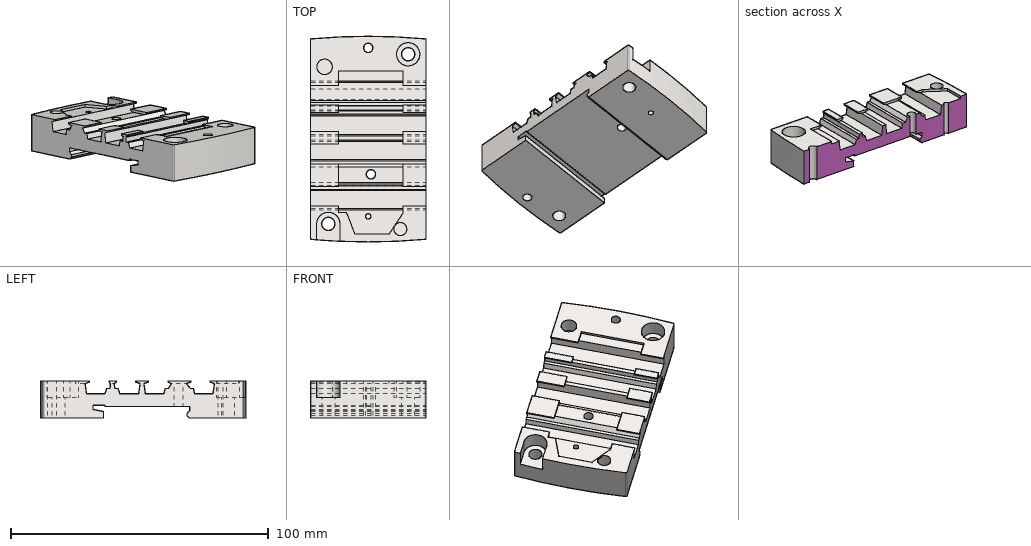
import cadquery as cq

WIDTH = 45.0
LENGTH = 79.9
HEIGHT = 14.5
END_BOW = 1.0
CORNER_RADIUS = 0.5

LIP_DEPTH = 0.5
NECK_DEPTH = 1.0
LEDGE_DEPTH = 2.9
FLOOR_DEPTH = 4.95

PLAIN_NECK_UNDERCUT = 1.7
PLAIN_FOOT_UNDERCUT = 1.1

POCKET_LEFT = -11.6
POCKET_RIGHT = 13.4
POCKET_BACK = 26.4
POCKET_SHOULDER_LEFT = -28.5
POCKET_SHOULDER_RIGHT = -28.85
POCKET_SHOULDER_END = -8.5
POCKET_FRONT = -36.9
POCKET_FRONT_LEFT = -5.1
POCKET_FRONT_RIGHT = 8.1

RAIL_DEPTH = 4.5
HOOK_Y = 15.4
HOOK_LIP_HEIGHT = 2.6
HOOK_ROOT_Y = 19.4
HOOK_ROOT_HEIGHT = 3.4
RELIEF_Y = 14.9
RELIEF_DEPTH = 5.0
NOSE_WALL_Y = -18.0
NOSE_TIP_Y = -16.9
NOSE_HEIGHTS = (1.0, 1.9, 2.95)

SCREW_X = 15.5
SCREW_Y = 32.9
SCREW_DIAMETER = 5.0
HEAD_DIAMETER = 9.0
HEAD_DEPTH = 6.5

THROUGH_HOLES = [(0, 35.4, 3.5), (1.0, -13.7, 3.5), (0, -29.95, 2.0)]
BLIND_HOLES = [(-16.9, 28.05, 6.0), (12.5, -34.9, 5.0)]
BLIND_DEPTH = HEAD_DEPTH


def block():
    half_width = WIDTH / 2
    half_length = LENGTH / 2
    corner_y = half_length - END_BOW
    return (
        cq.Workplane("XY")
        .moveTo(-half_width, -corner_y)
        .threePointArc((0, -half_length), (half_width, -corner_y))
        .lineTo(half_width, corner_y)
        .threePointArc((0, half_length), (-half_width, corner_y))
        .close()
        .extrude(HEIGHT)
        .edges("|Z")
        .fillet(CORNER_RADIUS)
    )


def along_x(points):
    """Bar with the given (y, z) outline, running the full width of the block."""
    return cq.Workplane("YZ").polyline(points).close().extrude(WIDTH / 2, both=True)


def plain_wall(lip_y, outward):
    """Wall outline from top to floor; outward is +1 or -1, pointing into the material along Y."""
    neck_y = lip_y + outward * PLAIN_NECK_UNDERCUT
    foot_y = lip_y + outward * PLAIN_FOOT_UNDERCUT
    return [
        (lip_y, HEIGHT),
        (lip_y, HEIGHT - LIP_DEPTH),
        (neck_y, HEIGHT - NECK_DEPTH),
        (foot_y, HEIGHT - FLOOR_DEPTH),
    ]


def stepped_wall(lip_y, neck_y, ledge_root_y, ledge_edge_y, foot_y):
    """Wall outline from top to floor with a ledge part of the way down."""
    return [
        (lip_y, HEIGHT),
        (lip_y, HEIGHT - LIP_DEPTH),
        (neck_y, HEIGHT - NECK_DEPTH),
        (ledge_root_y, HEIGHT - LEDGE_DEPTH),
        (ledge_edge_y, HEIGHT - LEDGE_DEPTH),
        (foot_y, HEIGHT - FLOOR_DEPTH),
    ]


def channel(back_wall, front_wall):
    return along_x(back_wall + front_wall[::-1])


def rail_groove():
    nose_low, nose_middle, nose_high = NOSE_HEIGHTS
    return along_x([
        (HOOK_Y, 0),
        (HOOK_Y, HOOK_LIP_HEIGHT),
        (HOOK_ROOT_Y, HOOK_ROOT_HEIGHT),
        (HOOK_ROOT_Y, RELIEF_DEPTH),
        (RELIEF_Y, RELIEF_DEPTH),
        (RELIEF_Y, RAIL_DEPTH),
        (NOSE_WALL_Y, RAIL_DEPTH),
        (NOSE_WALL_Y, nose_high),
        (NOSE_TIP_Y, nose_middle),
        (NOSE_TIP_Y, nose_low),
        (NOSE_WALL_Y, 0),
    ])


def middle_pocket():
    outline = [
        (POCKET_LEFT, POCKET_BACK),
        (POCKET_RIGHT, POCKET_BACK),
        (POCKET_RIGHT, POCKET_SHOULDER_RIGHT),
        (POCKET_FRONT_RIGHT, POCKET_FRONT),
        (POCKET_FRONT_LEFT, POCKET_FRONT),
        (POCKET_SHOULDER_END, POCKET_SHOULDER_LEFT),
        (POCKET_LEFT, POCKET_SHOULDER_LEFT),
    ]
    top = cq.Workplane("XY").workplane(offset=HEIGHT)
    return top.polyline(outline).close().extrude(-NECK_DEPTH)


def hole(x, y, diameter, depth):
    top = cq.Workplane("XY").workplane(offset=HEIGHT)
    return top.center(x, y).circle(diameter / 2).extrude(-depth)


def open_front_slot():
    """Lets the front screw recess run out through the -Y end."""
    slot_length = LENGTH / 2 - SCREW_Y
    return (
        cq.Workplane("XY")
        .workplane(offset=HEIGHT - HEAD_DEPTH)
        .center(-SCREW_X, -SCREW_Y - slot_length / 2)
        .rect(HEAD_DIAMETER, slot_length)
        .extrude(HEAD_DEPTH)
    )


result = block()

first_rib_back = stepped_wall(lip_y=13.3, neck_y=12.8, ledge_root_y=12.95, ledge_edge_y=14.2, foot_y=14.9)
first_rib_front = stepped_wall(lip_y=10.4, neck_y=11.3, ledge_root_y=10.95, ledge_edge_y=9.75, foot_y=9.0)
second_rib_back = plain_wall(lip_y=2.95, outward=-1)
second_rib_front = plain_wall(lip_y=-2.0, outward=1)
third_rib_back = stepped_wall(
    lip_y=-9.6, neck_y=-10.9, ledge_root_y=-9.75, ledge_edge_y=-8.5, foot_y=-8.0
)
third_rib_front = stepped_wall(
    lip_y=-18.45, neck_y=-16.8, ledge_root_y=-18.3, ledge_edge_y=-19.5, foot_y=-20.0
)
channels = [
    channel(plain_wall(lip_y=20.85, outward=1), first_rib_back),
    channel(first_rib_front, second_rib_back),
    channel(second_rib_front, third_rib_back),
    channel(third_rib_front, plain_wall(lip_y=-25.9, outward=-1)),
]
for cutter in channels:
    result = result.cut(cutter)

result = result.cut(rail_groove())
result = result.cut(middle_pocket())

for side in (1, -1):
    result = result.cut(hole(side * SCREW_X, side * SCREW_Y, SCREW_DIAMETER, HEIGHT))
    result = result.cut(hole(side * SCREW_X, side * SCREW_Y, HEAD_DIAMETER, HEAD_DEPTH))
result = result.cut(open_front_slot())

for x, y, diameter in THROUGH_HOLES:
    result = result.cut(hole(x, y, diameter, HEIGHT))
for x, y, diameter in BLIND_HOLES:
    result = result.cut(hole(x, y, diameter, BLIND_DEPTH))